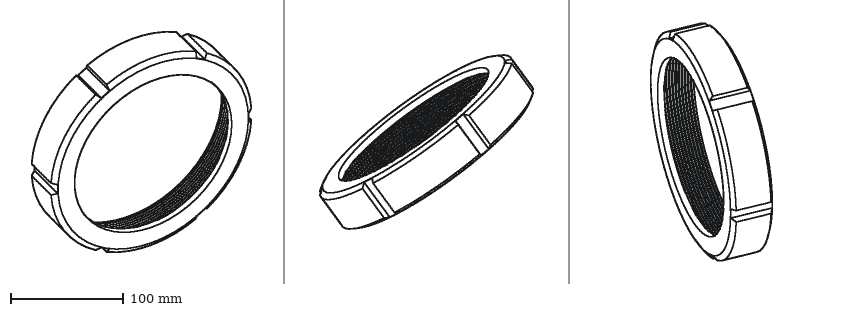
import cadquery as cq

outer_radius = 105.0
width = 40.0
chamfer_length = 3.4
chamfer_depth = 5.5

lip_radius = 82.1
lip_thickness = 6.3
crest_radius = 95.5
root_radius = 96.5

groove_count = 10
groove_pitch = 3.0
mouth_bevel_length = 0.6

slot_count = 6
slot_floor_radius = 99.8
slot_floor_width = 9.9
slot_mouth_width = 13.5

face_radius = outer_radius - chamfer_depth
front = -width / 2
back = width / 2


def ring_body():
    """Revolve the chamfered ring with its stepped, grooved bore."""
    profile = [
        (back - lip_thickness, lip_radius),
        (back, lip_radius),
        (back, face_radius),
        (back - chamfer_length, outer_radius),
        (front + chamfer_length, outer_radius),
        (front, face_radius),
        (front, root_radius),
        (front + mouth_bevel_length, crest_radius),
    ]
    for i in range(groove_count):
        groove_start = front + mouth_bevel_length + i * groove_pitch
        profile.append((groove_start + groove_pitch / 2, root_radius))
        profile.append((groove_start + groove_pitch, crest_radius))
    thread_end = front + mouth_bevel_length + groove_count * groove_pitch
    profile.append((thread_end, root_radius))
    profile.append((back - lip_thickness, root_radius))
    return cq.Workplane("XY").polyline(profile).close().revolve(360, (0, 0), (1, 0))


def slot_cutter():
    """Full-width trapezoid at +Y, extended past the rim along its tapered walls."""
    overrun = 2.0
    rim_depth = outer_radius - slot_floor_radius
    half_floor = slot_floor_width / 2
    wall_slope = (slot_mouth_width - slot_floor_width) / 2 / rim_depth
    half_top = half_floor + wall_slope * (rim_depth + overrun)
    top = outer_radius + overrun
    return (
        cq.Workplane("YZ", origin=(front, 0, 0))
        .moveTo(slot_floor_radius, -half_floor)
        .lineTo(slot_floor_radius, half_floor)
        .lineTo(top, half_top)
        .lineTo(top, -half_top)
        .close()
        .extrude(width)
    )


result = ring_body()
for i in range(slot_count):
    angle = i * 360 / slot_count
    result = result.cut(slot_cutter().rotate((0, 0, 0), (1, 0, 0), angle))